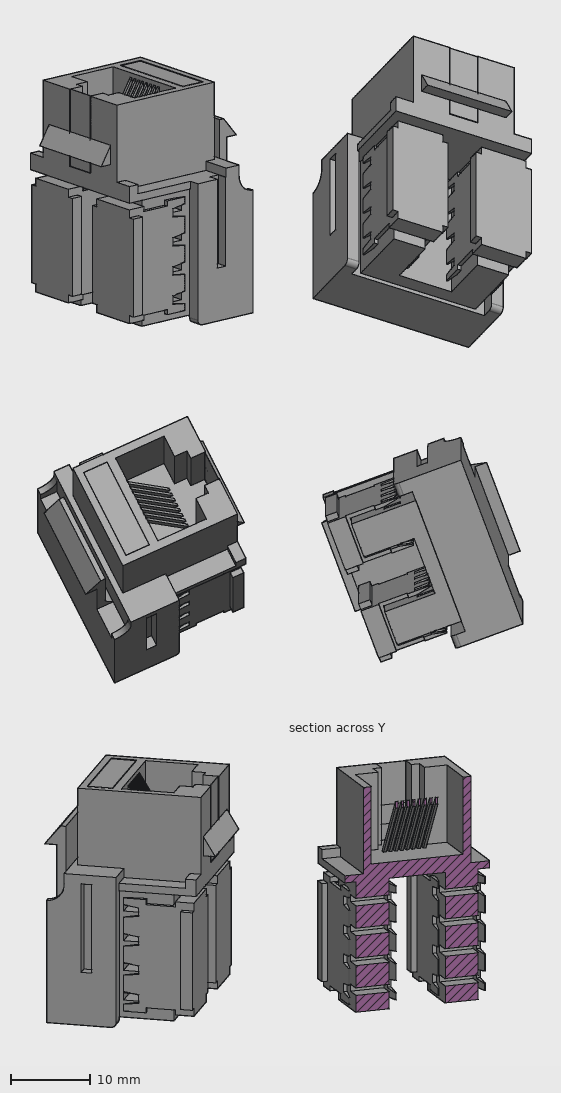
import cadquery as cq

block_width = 22.48
block_front_y = 0.48
block_rear_y = 9.57
block_height = 19.93
block_corner_radius = 0.72
front_recess_width = 19.15
recess_rear_y = 2.4

side_slot_front_y = 3.67
side_slot_width = 1.38
side_slot_depth = 1.45
side_slot_bottom_z = 7.0

plate_width = 19.55
plate_front_y = -9.57
plate_bottom_z = 17.73
shoulder_z = 18.72
lip_thickness = 1.4
right_shoulder_rear_y = 5.12

tower_width = 14.57
tower_rear_y = 6.5
tower_top_z = 30.1

cavity_rear_y = 1.05
cavity_floor_z = block_height
cavity_steps = [(12.35, -5.75), (6.25, -7.5)]
latch_slot_width = 4.03
web_recess = 0.1
web_thickness = 0.03

label_width = cavity_steps[0][0]
label_front_y = 2.25
label_rear_y = 5.55
label_depth = 0.1

contact_count = 8
contact_pitch = 0.768
contact_width = 0.35
contact_row_x = 0.05
contact_top_z = 29.5
contact_foot_y = -4.88
contact_drop = 0.93

clip_width = 12.15
clip_top_z = 24.53
clip_base_z = 22.0
clip_reach_y = 11.15
arm_front_y = 8.37
arm_tip_y = 9.03

pocket_width = 20.7
pocket_front_y = 7.28
pocket_floor_z = 14.63
scoop_radius = block_rear_y - pocket_front_y
scoop_center_z = 18.48

terminal_center_x = 6.02
terminal_width = 4.5
terminal_front_y = -6.3
terminal_bottom_z = 0.55
wire_count = 4
wire_slot_pitch = 3.928
wire_slot_height = 0.93
wire_slot_rear_y = 0.27
wire_slot_front_y = -1.93
wire_slot_center_z = 9.18

cap_width = 6.45
cap_height = 15.0
cap_center_z = 9.15
cap_rear_y = 0.05
cap_front_y = -9.15
cap_waist_rear_y = -2.9
cap_waist_front_y = -6.75
cap_waist_depth = 0.65
cap_wall = 0.5
cap_wall_tip = 0.15
cap_lead_in_depth = 1.8
cap_grip_width = 8.0
cap_grip_height = 12.9
cap_grip_rear_y = -7.62
notch_pitch = 3.838
notch_mouth_height = 1.65
notch_root_height = 1.1


def box(x_range, y_range, z_range):
    """A box between two limits on each axis."""
    (x0, x1), (y0, y1), (z0, z1) = x_range, y_range, z_range
    return cq.Workplane("XY").box(x1 - x0, y1 - y0, z1 - z0, centered=False).translate((x0, y0, z0))


def centered(width, center=0):
    """The limits of a width placed evenly about a center."""
    return center - width / 2, center + width / 2


def extrude_yz(points, width, center_x=0):
    """A closed Y-Z outline extruded along X, evenly about center_x."""
    outline = cq.Workplane("YZ").polyline(points).close()
    return outline.extrude(width / 2, both=True).translate((center_x, 0, 0))


def evenly_spaced(count, pitch, center=0):
    """Positions of a row of equally spaced features."""
    return [center + (i - (count - 1) / 2) * pitch for i in range(count)]


def rear_block():
    y_range = (block_front_y, block_rear_y)
    block = box(centered(block_width), y_range, (0, block_height))
    block = block.edges("|X").edges("<Y and <Z").fillet(block_corner_radius)

    recess = box(centered(front_recess_width), (block_front_y, recess_rear_y), (0, plate_bottom_z))
    return block.cut(recess)


def side_slots():
    y_range = (side_slot_front_y, side_slot_front_y + side_slot_width)
    z_range = (side_slot_bottom_z, shoulder_z)
    outer_x = block_width / 2
    inner_x = outer_x - side_slot_depth
    left = box((-outer_x, -inner_x), y_range, z_range)
    right = box((inner_x, outer_x), y_range, z_range)
    return left.union(right)


def rear_pocket():
    """The pocket that frees the spring arm, with its scooped end walls."""
    y_range = (pocket_front_y, block_rear_y)
    pocket = box(centered(pocket_width), y_range, (pocket_floor_z, block_height))
    scoop = (
        cq.Workplane("YZ")
        .center(block_rear_y, scoop_center_z)
        .circle(scoop_radius)
        .extrude(block_width / 2, both=True)
    )
    scoop_top = box(centered(block_width), y_range, (scoop_center_z, block_height))
    return pocket.union(scoop).union(scoop_top)


def spring_arm():
    root_top_z = scoop_center_z - scoop_radius
    return extrude_yz(
        [
            (pocket_front_y, pocket_floor_z),
            (arm_front_y, root_top_z),
            (arm_front_y, clip_top_z),
            (arm_tip_y, clip_top_z),
            (clip_reach_y, clip_base_z),
            (block_rear_y, clip_base_z),
            (block_rear_y, pocket_floor_z),
        ],
        clip_width,
    )


def front_wedge():
    return extrude_yz(
        [(plate_front_y, clip_top_z), (-clip_reach_y, clip_base_z), (plate_front_y, clip_base_z)],
        clip_width,
    )


def front_plate():
    return box(centered(plate_width), (plate_front_y, block_front_y), (plate_bottom_z, block_height))


def shoulder_cuts():
    """Steps beside the tower; the one on the right runs on into the rear block."""
    inner_x = tower_width / 2
    outer_x = block_width / 2
    front_y = plate_front_y + lip_thickness
    z_range = (shoulder_z, block_height)
    left = box((-outer_x, -inner_x), (front_y, block_front_y), z_range)
    right = box((inner_x, outer_x), (front_y, right_shoulder_rear_y), z_range)
    return left.union(right)


def tower():
    return box(centered(tower_width), (plate_front_y, tower_rear_y), (plate_bottom_z, tower_top_z))


def plug_cavity():
    """The stepped cavity and the shallow recess in front of its thin break-out web."""
    z_range = (cavity_floor_z, tower_top_z)
    web_front_y = plate_front_y + web_recess
    web_back_y = web_front_y + web_thickness
    cavity = box(centered(latch_slot_width), (web_back_y, cavity_rear_y), z_range)
    for width, front_y in cavity_steps:
        cavity = cavity.union(box(centered(width), (front_y, cavity_rear_y), z_range))
    return cavity.union(box(centered(latch_slot_width), (plate_front_y, web_front_y), z_range))


def label_recess():
    z_range = (tower_top_z - label_depth, tower_top_z)
    return box(centered(label_width), (label_front_y, label_rear_y), z_range)


def contact(x):
    slope = (contact_top_z - cavity_floor_z) / (cavity_rear_y - contact_foot_y)
    return extrude_yz(
        [
            (cavity_rear_y, contact_top_z),
            (contact_foot_y, cavity_floor_z),
            (contact_foot_y + contact_drop / slope, cavity_floor_z),
            (cavity_rear_y, contact_top_z - contact_drop),
        ],
        contact_width,
        x,
    )


def terminal_block(x):
    y_range = (terminal_front_y, block_front_y)
    return box(centered(terminal_width, x), y_range, (terminal_bottom_z, plate_bottom_z))


def terminal_spine():
    """The wall behind both terminal blocks, standing in the front recess of the rear block."""
    width = 2 * terminal_center_x + terminal_width
    y_range = (block_front_y, recess_rear_y)
    return box(centered(width), y_range, (terminal_bottom_z, plate_bottom_z))


def wire_slot(z):
    """A slot across both terminal blocks."""
    width = 2 * terminal_center_x + terminal_width
    return box(centered(width), (wire_slot_front_y, wire_slot_rear_y), centered(wire_slot_height, z))


def make_housing():
    body = rear_block().cut(side_slots()).cut(rear_pocket()).union(spring_arm())
    body = body.union(front_plate()).cut(shoulder_cuts())
    body = body.union(tower()).cut(plug_cavity()).cut(label_recess()).union(front_wedge())
    for x in evenly_spaced(contact_count, contact_pitch, contact_row_x):
        body = body.union(contact(x))

    body = body.union(terminal_spine())
    for x in (-terminal_center_x, terminal_center_x):
        body = body.union(terminal_block(x))
    for z in evenly_spaced(wire_count, wire_slot_pitch, wire_slot_center_z):
        body = body.cut(wire_slot(z))
    return body


def cap_notch(x, z):
    """A tapered wire notch through both side walls of a cap."""
    mouth_bottom, mouth_top = centered(notch_mouth_height, z)
    root_bottom, root_top = centered(notch_root_height, z)
    return extrude_yz(
        [
            (cap_rear_y, mouth_bottom),
            (cap_rear_y, mouth_top),
            (wire_slot_front_y, root_top),
            (wire_slot_front_y, root_bottom),
        ],
        cap_width,
        x,
    )


def cap_channel(x):
    """The channel around the terminal block, flared at its mouth where the side walls taper."""
    tip_x = cap_width / 2 - cap_wall_tip
    wall_x = cap_width / 2 - cap_wall
    flare_y = cap_rear_y - cap_lead_in_depth
    bottom_z, top_z = centered(cap_height, cap_center_z)
    outline = cq.Workplane("XY").polyline(
        [
            (x - tip_x, cap_rear_y),
            (x - wall_x, flare_y),
            (x - wall_x, terminal_front_y),
            (x + wall_x, terminal_front_y),
            (x + wall_x, flare_y),
            (x + tip_x, cap_rear_y),
        ]
    )
    return outline.close().extrude(top_z - bottom_z).translate((0, 0, bottom_z))


def make_cap(x):
    """A cap whose two side walls straddle a terminal block, with its front seated on the block."""
    x_range = centered(cap_width, x)
    waist_y = (cap_waist_front_y, cap_waist_rear_y)
    bottom_z, top_z = centered(cap_height, cap_center_z)
    cap = box(x_range, (cap_front_y, cap_rear_y), (bottom_z, top_z))
    cap = cap.cut(box(x_range, waist_y, (bottom_z, bottom_z + cap_waist_depth)))
    cap = cap.cut(box(x_range, waist_y, (top_z - cap_waist_depth, top_z)))

    grip_z = centered(cap_grip_height, cap_center_z)
    cap = cap.union(box(centered(cap_grip_width, x), (cap_front_y, cap_grip_rear_y), grip_z))
    for z in evenly_spaced(wire_count, notch_pitch, cap_center_z):
        cap = cap.cut(cap_notch(x, z))
    return cap.cut(cap_channel(x))


housing = make_housing()
caps = [make_cap(x) for x in (-terminal_center_x, terminal_center_x)]

result = cq.Compound.makeCompound([housing.solids().val(), *[cap.solids().val() for cap in caps]])